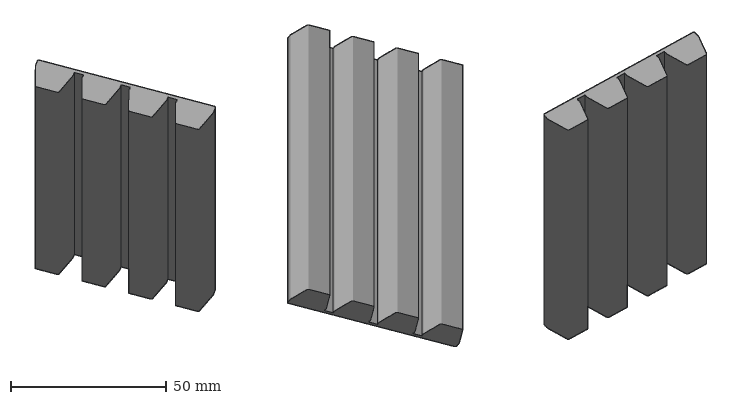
import cadquery as cq

length = 101.6
total_width = 60.4
total_depth = 10.4

rib_count = 4
rib_pitch = 15.8
rib_base_width = total_width - (rib_count - 1) * rib_pitch
rib_tip_width = 7.9
straight_depth = 2.5
tip_radius = 0.5

back_thickness = 1.2
back_corner_radius = 0.5

back_y = total_depth / 2
tip_y = back_y - total_depth
taper_y = back_y - straight_depth


def make_rib(center_x):
    """Tapered rib with rounded tip edges, reaching up to the back face."""
    half_base = rib_base_width / 2
    half_tip = rib_tip_width / 2
    profile = [
        (center_x - half_base, back_y),
        (center_x - half_base, taper_y),
        (center_x - half_tip, tip_y),
        (center_x + half_tip, tip_y),
        (center_x + half_base, taper_y),
        (center_x + half_base, back_y),
    ]
    rib = cq.Workplane("XY").polyline(profile).close().extrude(length)
    return rib.faces("<Y").edges("|Z").fillet(tip_radius)


def make_back():
    """Flat sheet across the full width."""
    sheet = cq.Workplane("XY").box(total_width, back_thickness, length, centered=(True, False, False))
    return sheet.translate((0, back_y - back_thickness, 0))


result = make_back()
first_rib_x = -(rib_count - 1) * rib_pitch / 2
for index in range(rib_count):
    result = result.union(make_rib(first_rib_x + index * rib_pitch))
result = result.clean()

result = result.faces(">Y").edges("|Z").fillet(back_corner_radius)